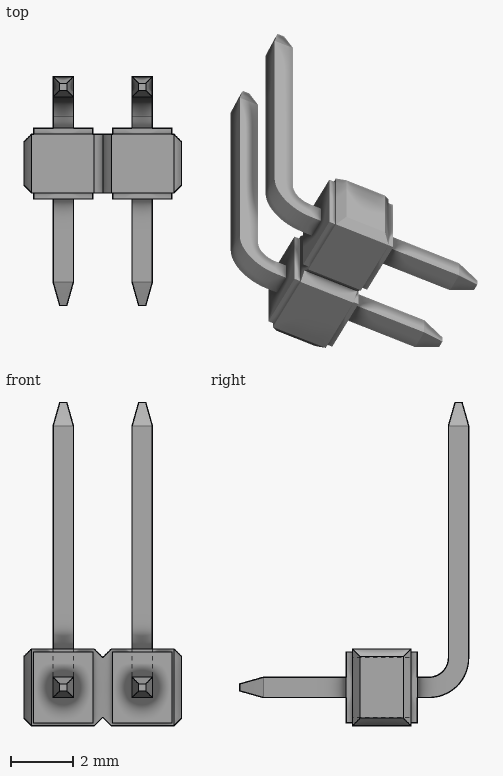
import cadquery as cq


pin_count = 2
pitch = 2.54
housing_depth = 1.89
housing_height = 2.48
end_bevel = 0.25
notch_depth = 0.28

pad_width = 1.9
pad_height = 2.28
pad_rise = 0.2

pin_width = 0.66
tip_width = 0.23
tip_length = 0.76
overall_depth = 7.37
overall_height = 10.41
pin_reach = 4.57
bend_inner_radius = 0.62

housing_length = pin_count * pitch
pad_span = housing_depth + 2 * pad_rise
leg_back = overall_depth - pin_reach
leg_center = leg_back - pin_width / 2
leg_top = overall_height - housing_height / 2
bend_radius = bend_inner_radius + pin_width / 2
pin_positions = [(i - (pin_count - 1) / 2) * pitch for i in range(pin_count)]
notch_positions = [(i - pin_count / 2) * pitch for i in range(1, pin_count)]


def make_housing():
    """Bar with bevelled end faces and a V notch above and below between cells."""
    housing = cq.Workplane("XY").box(housing_length, housing_depth, housing_height)
    housing = housing.faces("<X or >X").chamfer(end_bevel)
    for x in notch_positions:
        for side in (1, -1):
            surface = side * housing_height / 2
            notch = (
                cq.Workplane("XZ")
                .polyline([
                    (x - notch_depth, surface),
                    (x + notch_depth, surface),
                    (x, surface - side * notch_depth),
                ])
                .close()
                .extrude(housing_depth / 2, both=True)
            )
            housing = housing.cut(notch)
    return housing


def make_tip(base_plane):
    """Square taper that grows from the base plane along its normal."""
    return (
        cq.Workplane(base_plane)
        .rect(pin_width, pin_width)
        .workplane(offset=tip_length)
        .rect(tip_width, tip_width)
        .loft(ruled=True)
    )


def make_pin(x):
    """Square pin bent upward behind the housing, tapered at both ends."""
    straight_end = -pin_reach + tip_length
    leg_end = leg_top - tip_length
    front_plane = cq.Plane(origin=(x, straight_end, 0), xDir=(1, 0, 0), normal=(0, -1, 0))
    top_plane = cq.Plane(origin=(x, leg_center, leg_end), xDir=(1, 0, 0), normal=(0, 0, 1))
    path = (
        cq.Workplane("YZ", origin=(x, 0, 0))
        .moveTo(straight_end, 0)
        .lineTo(leg_center - bend_radius, 0)
        .radiusArc((leg_center, bend_radius), -bend_radius)
        .lineTo(leg_center, leg_end)
    )
    shaft = cq.Workplane(front_plane).rect(pin_width, pin_width).sweep(path)
    return shaft.union(make_tip(front_plane)).union(make_tip(top_plane))


result = make_housing()
for pin_x in pin_positions:
    pads = cq.Workplane("XY").box(pad_width, pad_span, pad_height).translate((pin_x, 0, 0))
    result = result.union(pads).union(make_pin(pin_x))